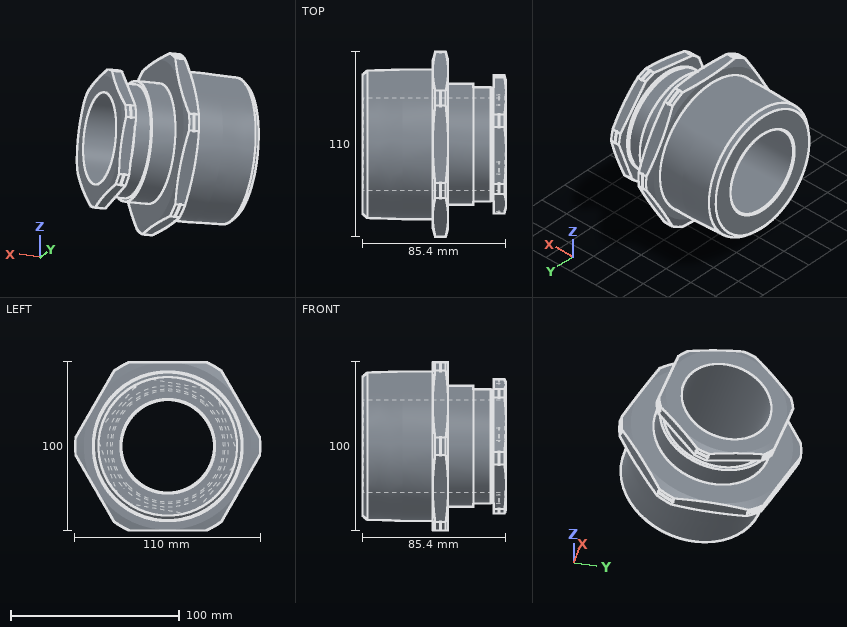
import cadquery as cq
import math


entry_chamfer_length = 3.0
taper_end = 24.0
main_hex_start = 41.8
main_hex_width = 9.2
main_hex_end = main_hex_start + main_hex_width
collar_end = 65.9
overall_length = 85.4
cap_hex_width = 7.5
cap_hex_start = overall_length - cap_hex_width
neck_flare_length = 0.7
neck_waist = cap_hex_start - neck_flare_length
neck_chamfer = 1.0

entry_radius = 44.5
taper_small_radius = 43.85
entry_chamfer_depth = 2.7
collar_radius = 36.0
neck_radius = 34.0
bore_radius = 27.5
bore_chamfer = 0.6

main_hex_across_flats = 100.0
cap_hex_across_flats = 75.0
corner_ratio = 1.1
cap_hex_turn = 10.0
face_circle_inset = 0.3
main_bevel_length = 1.5
cap_bevel_length = 1.1

groove_width = 0.6
groove_depth = 0.15


def revolve_about_x(points):
    """Solid of revolution about X from (x, radius) points."""
    profile = cq.Workplane("XZ").polyline(points).close()
    return profile.revolve(360, (0, 0, 0), (1, 0, 0))


def hexagon(start, width, across_flats, start_bevel, end_bevel, turn):
    """Hexagon with rounded corners, bevelled faces and a scribed corner groove."""
    flat_radius = across_flats / 2
    corner_radius = flat_radius * corner_ratio
    face_radius = flat_radius - face_circle_inset
    end = start + width
    groove_middle = (start + start_bevel + end - end_bevel) / 2

    prism = (
        cq.Workplane("YZ", origin=(start, 0, 0))
        .polygon(6, across_flats / math.cos(math.radians(30)))
        .extrude(width)
        .rotate((0, 0, 0), (1, 0, 0), turn)
    )
    envelope_points = [(start, 0)]
    if start_bevel > 0:
        envelope_points.append((start, face_radius))
    envelope_points += [
        (start + start_bevel, corner_radius),
        (groove_middle - groove_width / 2, corner_radius),
        (groove_middle - groove_width / 2, corner_radius - groove_depth),
        (groove_middle + groove_width / 2, corner_radius - groove_depth),
        (groove_middle + groove_width / 2, corner_radius),
        (end - end_bevel, corner_radius),
        (end, face_radius),
        (end, 0),
    ]
    return prism.intersect(revolve_about_x(envelope_points))


def round_body():
    """Tapered entry, collar and neck with its V-shaped waist, turned as one piece up to the cap hexagon."""
    return revolve_about_x([
        (0, 0),
        (0, taper_small_radius - entry_chamfer_depth),
        (entry_chamfer_length, taper_small_radius),
        (taper_end, entry_radius),
        (main_hex_start, entry_radius),
        (main_hex_start, collar_radius),
        (collar_end, collar_radius),
        (collar_end, neck_radius),
        (neck_waist - neck_chamfer, neck_radius),
        (neck_waist, neck_radius - neck_chamfer),
        (cap_hex_start, neck_radius),
        (cap_hex_start, 0),
    ])


def bore():
    """Through bore, chamfered at the entry face."""
    return revolve_about_x([
        (0, 0),
        (0, bore_radius + bore_chamfer),
        (bore_chamfer, bore_radius),
        (overall_length, bore_radius),
        (overall_length, 0),
    ])


main_hexagon = hexagon(
    main_hex_start, main_hex_width, main_hex_across_flats, main_bevel_length, main_bevel_length, 0
)
cap_hexagon = hexagon(
    cap_hex_start, cap_hex_width, cap_hex_across_flats, 0, cap_bevel_length, cap_hex_turn
)

result = round_body().union(main_hexagon).union(cap_hexagon).cut(bore())